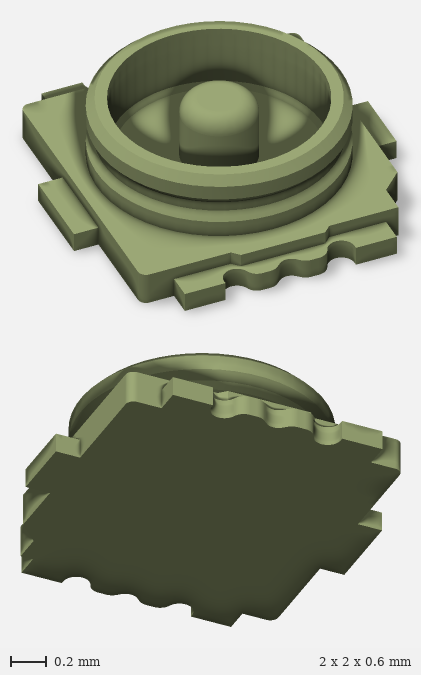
import cadquery as cq
import math

overall_width = 2.0
half_span = overall_width / 2
base_width = 1.7
half_base = base_width / 2
base_height = 0.2
corner_radius = 0.05

corner_step_depth = 0.125
corner_step_start_x = 0.555

side_pad_reach = 0.045
side_pad_half_length = 0.302

tab_height = 0.12
front_tab_width = 0.5
back_tab_width = 0.4
side_tab_half_length = 0.65

bite_radius = 0.08
bite_center_x = half_span - 0.02
bite_center_y = 0.32
lobe_flat_outer_y = 0.175
lobe_flat_inner_y = 0.125
valley_depth = 0.06
valley_radius = 0.075

total_height = 0.6
shell_radius = 0.75
groove_radius = 0.71
groove_bottom = 0.3
groove_floor_bottom = 0.35
groove_floor_top = 0.41
groove_top = 0.46
rim_chamfer = 0.05
bore_radius = 0.63
floor_radius = 0.6
floor_height = base_height
floor_chamfer = bore_radius - floor_radius

pin_diameter = 0.45
pin_top = total_height
pin_round = 0.1


def make_base():
    plate = cq.Workplane("XY").box(base_width, base_width, base_height, centered=(True, True, False))
    plate = plate.edges("|Z").edges("<X or <Y").fillet(corner_radius)
    step_y = half_base - corner_step_depth
    step = (
        cq.Workplane("XY")
        .moveTo(corner_step_start_x, half_base)
        .lineTo(corner_step_start_x + corner_step_depth, step_y)
        .lineTo(half_base, step_y)
        .lineTo(half_base, half_base)
        .close()
        .extrude(base_height)
    )
    plate = plate.cut(step)
    pad_x = half_base + side_pad_reach
    pad_flat_y = side_pad_half_length - side_pad_reach
    pads = (
        cq.Workplane("XY")
        .polyline([
            (-half_base, -side_pad_half_length),
            (half_base, -side_pad_half_length),
            (pad_x, -pad_flat_y),
            (pad_x, pad_flat_y),
            (half_base, side_pad_half_length),
            (-half_base, side_pad_half_length),
            (-pad_x, pad_flat_y),
            (-pad_x, -pad_flat_y),
        ])
        .close()
        .extrude(base_height)
    )
    return plate.union(pads)


def make_end_tab(width, direction):
    """Plain tab from the part centre out to the +Y (1) or -Y (-1) limit."""
    return (
        cq.Workplane("XY")
        .center(0, direction * half_span / 2)
        .rect(width, half_span)
        .extrude(tab_height)
    )


def point_on_circle(center_x, center_y, radius, angle):
    return (center_x + radius * math.cos(angle), center_y + radius * math.sin(angle))


def make_side_tab():
    """Tab on the +X side: two round bites, two lobes and a valley, all tangent."""
    bite_offset = half_span - bite_center_x
    bite_gap_y = bite_center_y - lobe_flat_outer_y
    lobe_radius = (
        (bite_gap_y**2 + bite_offset**2 - bite_radius**2) / (2 * (bite_radius + bite_offset))
    )
    lobe_x = half_span - lobe_radius
    bite_angle = math.atan2(bite_gap_y, bite_center_x - lobe_x)

    valley_x = half_span - valley_depth
    valley_center_x = valley_x + valley_radius
    center_gap_x = valley_center_x - lobe_x
    center_distance = math.hypot(center_gap_x, lobe_flat_inner_y)
    center_angle = math.atan2(-lobe_flat_inner_y, center_gap_x)
    flank_angle = center_angle + math.acos((lobe_radius + valley_radius) / center_distance)

    bite_top = (bite_center_x, bite_center_y + bite_radius)
    bite_deepest = (bite_center_x - bite_radius, bite_center_y)
    bite_end = point_on_circle(lobe_x, lobe_flat_outer_y, lobe_radius, bite_angle)
    lobe_outer_mid = point_on_circle(lobe_x, lobe_flat_outer_y, lobe_radius, bite_angle / 2)
    lobe_inner_mid = point_on_circle(lobe_x, lobe_flat_inner_y, lobe_radius, flank_angle / 2)
    flank_start = point_on_circle(lobe_x, lobe_flat_inner_y, lobe_radius, flank_angle)
    flank_end = point_on_circle(valley_center_x, 0, valley_radius, flank_angle + math.pi)

    half_tab = (
        cq.Workplane("XY")
        .moveTo(0, 0)
        .lineTo(0, side_tab_half_length)
        .lineTo(half_span, side_tab_half_length)
        .lineTo(half_span, bite_top[1])
        .lineTo(*bite_top)
        .threePointArc(bite_deepest, bite_end)
        .threePointArc(lobe_outer_mid, (half_span, lobe_flat_outer_y))
        .lineTo(half_span, lobe_flat_inner_y)
        .threePointArc(lobe_inner_mid, flank_start)
        .lineTo(*flank_end)
        .radiusArc((valley_x, 0), -valley_radius)
        .close()
        .extrude(tab_height)
    )
    return half_tab.union(half_tab.mirror("XZ"))


def make_shell():
    """Grooved cup, turned about Z, with a chamfer where its wall meets the floor."""
    return (
        cq.Workplane("XZ")
        .polyline([
            (0, 0),
            (shell_radius, 0),
            (shell_radius, groove_bottom),
            (groove_radius, groove_floor_bottom),
            (groove_radius, groove_floor_top),
            (shell_radius, groove_top),
            (shell_radius, total_height - rim_chamfer),
            (shell_radius - rim_chamfer, total_height),
            (bore_radius, total_height),
            (bore_radius, floor_height + floor_chamfer),
            (floor_radius, floor_height),
            (0, floor_height),
        ])
        .close()
        .revolve(360, (0, 0, 0), (0, 1, 0))
    )


def make_pin():
    return cq.Workplane("XY").circle(pin_diameter / 2).extrude(pin_top).faces(">Z").edges().fillet(pin_round)


side_tab = make_side_tab()

result = (
    make_base()
    .union(make_end_tab(front_tab_width, -1))
    .union(make_end_tab(back_tab_width, 1))
    .union(side_tab)
    .union(side_tab.mirror("YZ"))
    .union(make_shell())
    .union(make_pin())
)